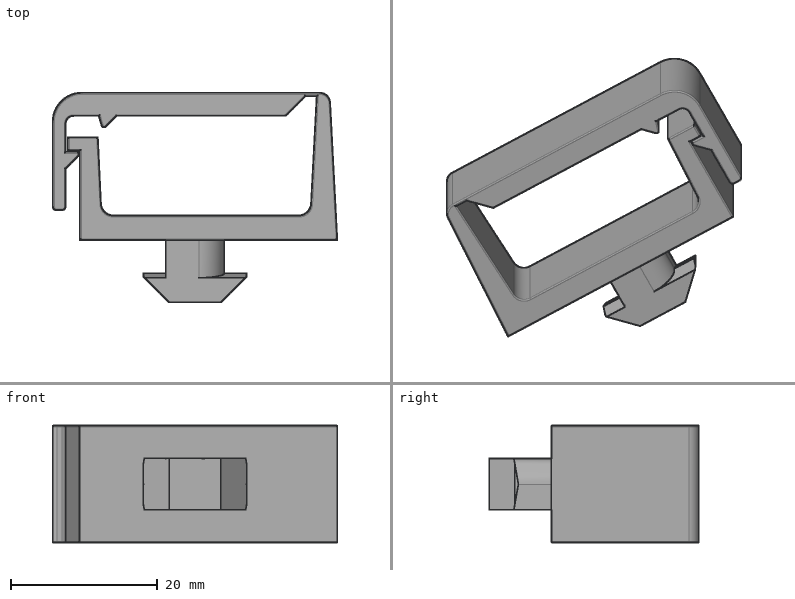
import cadquery as cq
length = 38.8
body_depth = 20.1
body_height = 16.0
edge_radius = 0.2

lid_thickness = 3.2
lid_underside = body_depth - lid_thickness
arm_thickness = 1.8
arm_end = 4.07
arm_tip_radius = 0.55
lid_outer_radius = 4.0
lid_inner_radius = 1.05

catch_tip = 3.6
catch_top = 12.05
catch_tip_height = 0.5
catch_run = catch_tip - arm_thickness

tooth_left = 6.3
tooth_right = 8.7
tooth_tip = 6.83
tooth_depth = tooth_right - tooth_tip
tooth_radius = 0.35

floor = 3.38
channel_left = 3.7
channel_radius = 1.65
hook_left = 2.05
hook_top = 14.05
hook_bottom = 12.2
wall_inner_top = 6.15
wall_inner_bottom = 6.67

hinge_inner_top = 35.95
hinge_inner_bottom = 35.1
hinge_outer_top = 37.75
hinge_radius = 1.47
hinge_thickness = 0.5
hinge_underside = body_depth - hinge_thickness
ramp_start = 31.75
ramp_end = ramp_start + hinge_underside - lid_underside

foot_center = 19.4
foot_height = 7.02
foot_depth = 8.5
post_width = 8.05
post_radius = foot_height / 2
head_width = 14.1
head_tip_width = 7.05
head_ridge = 4.5
head_bevel = (head_width - head_tip_width) / 2
head_roof_drop = 0.62
post_depth = (head_ridge + foot_depth) / 2


def make_body():
    """Extrude the one-piece clip outline, round its corners and the rims of both end faces."""
    outline = [
        (0, arm_end),
        (0, body_depth),
        (hinge_outer_top, body_depth),
        (length, 0),
        (channel_left, 0),
        (channel_left, hook_bottom),
        (hook_left, hook_bottom),
        (hook_left, hook_top),
        (wall_inner_top, hook_top),
        (wall_inner_bottom, floor),
        (hinge_inner_bottom, floor),
        (hinge_inner_top, hinge_underside),
        (ramp_end, hinge_underside),
        (ramp_start, lid_underside),
        (tooth_right, lid_underside),
        (tooth_tip, lid_underside - tooth_depth),
        (tooth_left, lid_underside),
        (arm_thickness, lid_underside),
        (arm_thickness, catch_top),
        (catch_tip, catch_top),
        (catch_tip, catch_top - catch_tip_height),
        (arm_thickness, catch_top - catch_tip_height - catch_run),
        (arm_thickness, arm_end),
    ]
    rounded_corners = [
        ((0, arm_end), arm_tip_radius),
        ((arm_thickness, arm_end), arm_tip_radius),
        ((0, body_depth), lid_outer_radius),
        ((arm_thickness, lid_underside), lid_inner_radius),
        ((hinge_outer_top, body_depth), hinge_radius),
        ((wall_inner_bottom, floor), channel_radius),
        ((hinge_inner_bottom, floor), channel_radius),
        ((tooth_tip, lid_underside - tooth_depth), tooth_radius),
    ]
    body = cq.Workplane("XY").polyline(outline).close().extrude(body_height / 2, both=True)
    for (x, y), radius in rounded_corners:
        corner = cq.selectors.NearestToPointSelector((x, y, 0))
        body = body.edges("|Z").edges(corner).fillet(radius)
    return body.faces("<Z or >Z").edges().fillet(edge_radius)


def make_post():
    """Post with two opposite corners rounded so that it can turn in a slot."""
    post = cq.Workplane("XZ").center(foot_center, 0).rect(post_width, foot_height)
    post = post.extrude(post_depth)
    for side in (-1, 1):
        corner = cq.selectors.NearestToPointSelector(
            (foot_center + side * post_width / 2, 0, side * foot_height / 2)
        )
        post = post.edges("|Y").edges(corner).fillet(post_radius)
    return post


def make_head():
    """Bevelled cross head whose side facing the body slopes down from a ridge at mid height."""
    bevel_start = -foot_depth + head_bevel
    head = (
        cq.Workplane("XY")
        .polyline([
            (foot_center - head_width / 2, -head_ridge),
            (foot_center + head_width / 2, -head_ridge),
            (foot_center + head_width / 2, bevel_start),
            (foot_center + head_tip_width / 2, -foot_depth),
            (foot_center - head_tip_width / 2, -foot_depth),
            (foot_center - head_width / 2, bevel_start),
        ])
        .close()
        .extrude(foot_height / 2, both=True)
    )
    roof = (
        cq.Workplane("YZ")
        .polyline([
            (-head_ridge, 0),
            (-head_ridge - head_roof_drop, foot_height / 2),
            (-foot_depth, foot_height / 2),
            (-foot_depth, -foot_height / 2),
            (-head_ridge - head_roof_drop, -foot_height / 2),
        ])
        .close()
        .extrude(length)
    )
    return head.intersect(roof)


result = make_body().union(make_post()).union(make_head())